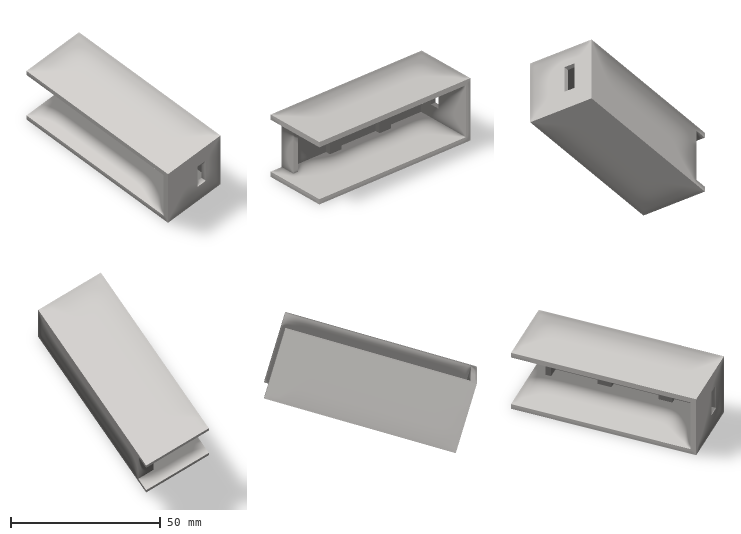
import cadquery as cq

length = 67.0
depth = 25.0
height = 24.0
wall = 2.0
inner_height = height - 2 * wall

lip_depth = 6.0
rib_depth = 4.0
lip_start = 4.9
rib_width = 5.0
rib_starts = (22.85, 44.9)

window_width = 4.0
window_height = 10.0
window_gap = 1.0


def box(x_start, y_start, z_start, x_size, y_size, z_size):
    """Box placed by its lowest corner."""
    return cq.Workplane("XY").box(x_size, y_size, z_size, centered=False).translate((x_start, y_start, z_start))


def upright(x_start, width, y_size):
    """Full-height upright flush with the back of the channel."""
    return box(x_start, depth - y_size, wall, width, y_size, inner_height)


result = box(0, 0, 0, length, depth, wall)
result = result.union(box(0, 0, height - wall, length, depth, wall))

result = result.union(box(length - wall, 0, wall, wall, depth, inner_height))
result = result.union(box(lip_start, depth - wall, wall, length - lip_start, wall, inner_height))

result = result.union(upright(lip_start, wall, lip_depth))
for rib_start in rib_starts:
    result = result.union(upright(rib_start, rib_width, rib_depth))

window_y = depth - lip_depth - window_gap - window_width
window_z = (height - window_height) / 2
result = result.cut(box(length - wall, window_y, window_z, wall, window_width, window_height))